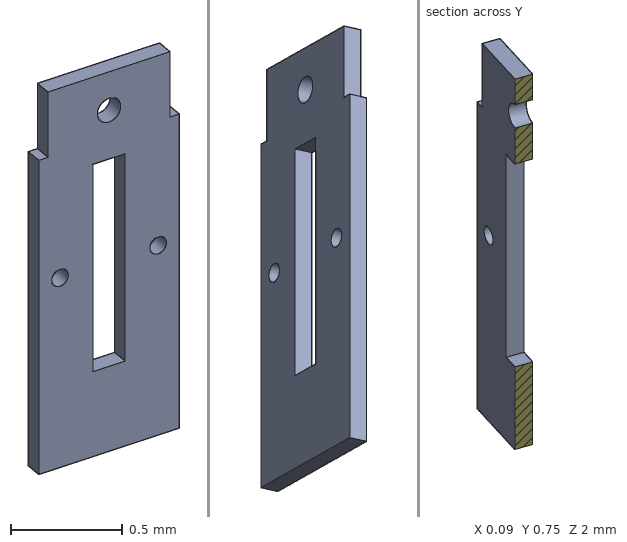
import cadquery as cq

thickness = 0.09
width = 0.75
height = 2.0

tab_width = 0.652
tab_height = 0.345
body_height = height - tab_height

tab_hole_diameter = 0.125
tab_hole_z = height - 0.202

slot_width = 0.172
slot_height = 1.092
slot_bottom_z = 0.448

side_hole_diameter = 0.088
side_hole_spacing = 0.525
side_hole_z = height / 2


def block(block_width, block_height, bottom_z):
    """Full-thickness block centred on Y, standing on bottom_z."""
    return (
        cq.Workplane("XY")
        .box(thickness, block_width, block_height, centered=(True, True, False))
        .translate((0, 0, bottom_z))
    )


def cross_hole(diameter, y, z):
    """Cylinder along X through the whole thickness."""
    return (
        cq.Workplane("YZ")
        .center(y, z)
        .circle(diameter / 2)
        .extrude(thickness, both=True)
    )


result = block(width, body_height, 0).union(block(tab_width, tab_height, body_height))

result = result.cut(block(slot_width, slot_height, slot_bottom_z))
result = result.cut(cross_hole(tab_hole_diameter, 0, tab_hole_z))
for side in (-1, 1):
    result = result.cut(cross_hole(side_hole_diameter, side * side_hole_spacing / 2, side_hole_z))